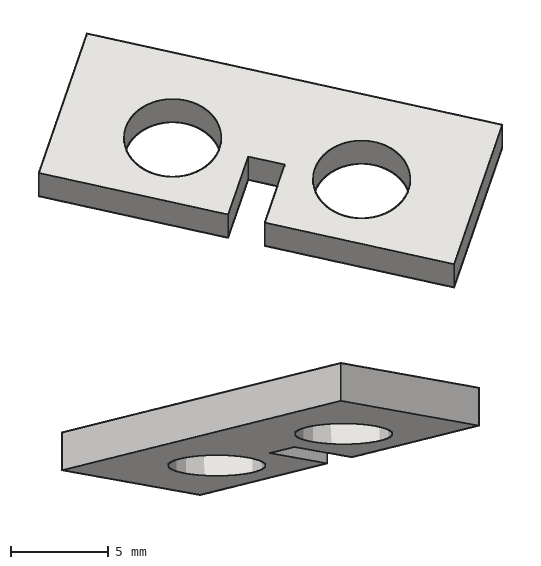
import cadquery as cq

length = 22.1
width = 9.3
thickness = 2.0

hole_diameter = 5.0
hole_spacing = 10.05
hole_from_front = 4.0

slot_width = 1.95
slot_depth = 3.87

front_edge = -width / 2

plate = cq.Workplane("XY").box(length, width, thickness)

drilled_plate = (
    plate.faces(">Z")
    .workplane()
    .center(0, front_edge + hole_from_front)
    .pushPoints([(-hole_spacing / 2, 0), (hole_spacing / 2, 0)])
    .hole(hole_diameter)
)

slot = (
    cq.Workplane("XY")
    .box(slot_width, 2 * slot_depth, thickness)
    .translate((0, front_edge, 0))
)

result = drilled_plate.cut(slot)